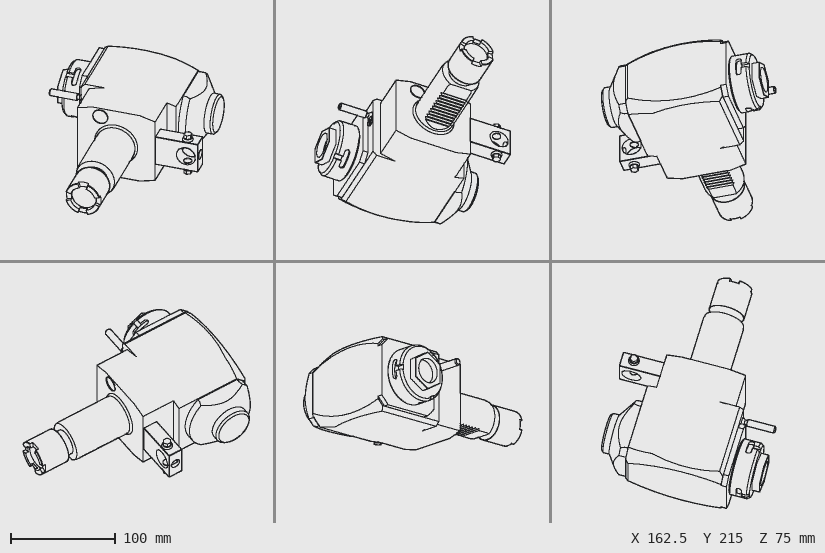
import cadquery as cq
import math


HALF_HEIGHT = 37.5
BACK_Y = 114.0
STEP_Y = 35.25
WIDE_LEFT_X = -47.25
WIDE_RIGHT_X = 48.5
FOOT_HALF_WIDTH = 39.25
TAPER_START_X = 24.0
TAPER = math.tan(math.radians(15))
LEFT_CHAMFER = 3.9
BACK_CORNER_CHAMFER = 3.0
CROWN_RADIUS = 128.0
CROWN_CENTER_X = -10.0
CROWN_Y = 109.7
RECESS_X, RECESS_Z = -16.2, 27.7
RECESS_DIAMETER = 15.0
RECESS_DEPTH = 1.0

SPINDLE_Y = 79.8
FLANGE_LEFT_X = -52.6
FLANGE_HALF_HEIGHT = 33.5
FLANGE_FRONT_Y = 46.4
FLANGE_CORNER = 8.2
NUT_RADIUS = 27.6
NUT_LEFT_X = -73.0
NUT_RIGHT_X = -53.8
NUT_CHAMFER_LENGTH, NUT_CHAMFER_DEPTH = 2.6, 2.0
NUT_NECK_RADIUS = 26.0
SLOT_COUNT = 3
SLOT_X = -62.8
SLOT_WIDTH = 5.2
SLOT_LENGTH = 19.0
SLOT_DEPTH = 3.0
CHANNEL_WIDTH = 4.7
HEX_LEFT_X = -80.5
HEX_ACROSS_FLATS = 32.2
HEX_CORNER_FILLET = 1.0
HEX_EDGE_CHAMFER = 0.3
HEX_BORE_DIAMETER = 24.0
HEX_BORE_DEPTH = 6.5

COVER_RADIUS = 37.3
COVER_CONE_X = 55.7
COVER_BOSS_X = 68.3
COVER_END_X = 76.5
COVER_BOSS_RADIUS = 19.5
COVER_BOSS_CHAMFER = 2.0
COVER_FLAT = 29.6
COVER_TAPER_X = 51.8

PIN_Y, PIN_Z = 40.5, 17.6
PIN_LEFT_X = -80.4
PIN_NECK_X = -52.6
PIN_HEAD_X = -50.0
PIN_RADIUS = 3.4
PIN_NECK_RADIUS = 2.2
PIN_BASE_RADIUS = 4.0
PIN_TIP_CHAMFER = 1.0
DISC_Z = 10.4
DISC_DIAMETER = 9.3
DISC_THICKNESS = 1.2
DISC_SOCKET_ACROSS_FLATS = 3.5

BAR_END_X = 82.0
BAR_FRONT_Y, BAR_BACK_Y = 1.0, 16.0
BAR_HALF_HEIGHT = 15.75
BAR_EDGE_CHAMFER = 0.4
BAR_BORE_X = 69.9
BAR_BORE_DIAMETER = 19.0
SCREW_Y = 7.0
SCREW_HEX_ACROSS_FLATS = 6.8
SCREW_TOP_Z = 22.0
SCREW_COLLAR_TOP_Z = 18.0
SCREW_COLLAR_RADIUS = 5.2
SCREW_COLLAR_TOP_RADIUS = 4.3
SCREW_STUD_DIAMETER = 8.0
SCREW_STUD_END_Z = 8.5
END_HOLE_DIAMETER = 9.5

SHANK_RADIUS = 20.0
SHANK_LENGTH = 63.0
SHANK_TIP_LENGTH, SHANK_TIP_DEPTH = 3.2, 0.7
COLLAR_RADIUS = 21.6
COLLAR_LENGTH = 2.0
COLLAR_END_RADIUS = 20.2
COLLAR_ROUNDING = 1.6
RELIEF_RADIUS = 19.6
RELIEF_END = 3.5
NECK_RADIUS = 12.7
FLARE_START = 64.2
FLARE_END_RADIUS = 17.0
COUPLING_START = 71.0
COUPLING_END = 101.0
COUPLING_RADIUS = 17.5
COUPLING_CHAMFER = 0.5
COUPLING_BORE_RADIUS = 12.5
COUPLING_BORE_DEPTH = 5.0
CLAW_SLOT_COUNT = 4
CLAW_SLOT_HALF_ANGLE = 16.5
CLAW_SLOT_DEPTH = 3.2
RACK_Z = -15.9
RACK_FLAT_START = 8.8
RACK_PITCH = 4.0
RACK_FIRST_GROOVE = 11.3
RACK_GROOVES = 10
RACK_GROOVE_HALF_WIDTH = 1.6
RACK_GROOVE_DEPTH = 1.3


def x_plane(x, y=0.0, z=0.0):
    """Sketch plane facing +X: local axes are Y and Z."""
    return cq.Workplane("YZ", origin=(x, y, z))


def across_corners(across_flats):
    return across_flats / math.cos(math.radians(30))


def prism_along_y(outline, y_start, y_end):
    """Extrude an outline of (x, z) points from y_start to y_end."""
    plane = cq.Plane(origin=(0, y_start, 0), xDir=(1, 0, 0), normal=(0, -1, 0))
    return cq.Workplane(plane).polyline(outline).close().extrude(y_start - y_end)


def turned_along_x(profile, y, z=0.0):
    """Turn an outline of (x, radius) points about the X-parallel axis at (y, z)."""
    blank = cq.Workplane("XY", origin=(0, y, z)).polyline(profile).close()
    return blank.revolve(360, (0, 0, 0), (1, 0, 0))


def tapered_height(x):
    return HALF_HEIGHT - TAPER * (x - TAPER_START_X)


def back_bevel():
    """Arched wedge that trims the upper back edge at 45 degrees."""
    reach = 70.0
    edge_y = CROWN_Y - CROWN_RADIUS + math.sqrt(CROWN_RADIUS**2 - reach**2)
    rise = 20.0
    outline = (
        cq.Workplane("XY", origin=(CROWN_CENTER_X, -rise, HALF_HEIGHT + rise))
        .moveTo(-reach, edge_y)
        .threePointArc((0, CROWN_Y), (reach, edge_y))
        .lineTo(reach, BACK_Y + 3 * rise)
        .lineTo(-reach, BACK_Y + 3 * rise)
        .close()
    )
    face = cq.Face.makeFromWires(outline.wires().val())
    sweep = cq.Vector(0, 4 * rise, -4 * rise)
    return cq.Workplane(cq.Solid.extrudeLinear(face, sweep))


def make_housing():
    end_z = tapered_height(WIDE_RIGHT_X)
    shoulder_z = HALF_HEIGHT - LEFT_CHAMFER
    shoulder_x = WIDE_LEFT_X + LEFT_CHAMFER
    wide_upper = [
        (WIDE_LEFT_X, shoulder_z),
        (shoulder_x, HALF_HEIGHT),
        (TAPER_START_X, HALF_HEIGHT),
        (WIDE_RIGHT_X, end_z),
    ]
    wide_outline = wide_upper + [(x, -z) for x, z in reversed(wide_upper)]
    wide = prism_along_y(wide_outline, STEP_Y, BACK_Y)
    wide = wide.edges("|Z and >X and >Y").chamfer(BACK_CORNER_CHAMFER)
    bevel = back_bevel()
    wide = wide.cut(bevel).cut(bevel.mirror("XY"))

    foot_z = tapered_height(FOOT_HALF_WIDTH)
    foot_upper = [
        (-FOOT_HALF_WIDTH, foot_z),
        (-TAPER_START_X, HALF_HEIGHT),
        (TAPER_START_X, HALF_HEIGHT),
        (FOOT_HALF_WIDTH, foot_z),
    ]
    foot_outline = foot_upper + [(x, -z) for x, z in reversed(foot_upper)]
    foot = prism_along_y(foot_outline, 0, STEP_Y)

    recess = (
        cq.Workplane("XZ", origin=(RECESS_X, 0, RECESS_Z))
        .circle(RECESS_DIAMETER / 2)
        .extrude(-RECESS_DEPTH)
    )
    return wide.union(foot).cut(recess)


def make_flange():
    length = BACK_Y - FLANGE_FRONT_Y
    return (
        x_plane(FLANGE_LEFT_X, (BACK_Y + FLANGE_FRONT_Y) / 2)
        .rect(length, 2 * FLANGE_HALF_HEIGHT)
        .extrude(WIDE_LEFT_X - FLANGE_LEFT_X)
        .edges("|X")
        .chamfer(FLANGE_CORNER)
    )


def spanner_slot():
    """Rounded slot around the nut on its +Y side, with a channel to the nut face."""
    slot = (
        cq.Workplane("XZ", origin=(SLOT_X, SPINDLE_Y + NUT_RADIUS, 0))
        .slot2D(SLOT_LENGTH, SLOT_WIDTH, 90)
        .extrude(NUT_RADIUS / 2)
    )
    channel = (
        x_plane(NUT_LEFT_X, SPINDLE_Y + NUT_RADIUS - SLOT_DEPTH / 2)
        .rect(SLOT_DEPTH, CHANNEL_WIDTH)
        .extrude(SLOT_X - NUT_LEFT_X)
    )
    core = (
        x_plane(NUT_LEFT_X, SPINDLE_Y)
        .circle(NUT_RADIUS - SLOT_DEPTH)
        .extrude(NUT_RIGHT_X - NUT_LEFT_X)
    )
    return slot.cut(core).union(channel)


def make_nut():
    nut = turned_along_x(
        [
            (NUT_LEFT_X, 0),
            (NUT_LEFT_X, NUT_RADIUS - NUT_CHAMFER_DEPTH),
            (NUT_LEFT_X + NUT_CHAMFER_LENGTH, NUT_RADIUS),
            (NUT_RIGHT_X, NUT_RADIUS),
            (NUT_RIGHT_X, NUT_NECK_RADIUS),
            (FLANGE_LEFT_X, NUT_NECK_RADIUS),
            (FLANGE_LEFT_X, 0),
        ],
        SPINDLE_Y,
    )
    slot = spanner_slot()
    for i in range(SLOT_COUNT):
        nut = nut.cut(slot.rotate((0, SPINDLE_Y, 0), (1, SPINDLE_Y, 0), i * 360 / SLOT_COUNT))

    hexagon = (
        x_plane(HEX_LEFT_X, SPINDLE_Y)
        .transformed(rotate=(0, 0, 30))
        .polygon(6, across_corners(HEX_ACROSS_FLATS))
        .extrude(NUT_LEFT_X - HEX_LEFT_X)
        .edges("|X")
        .fillet(HEX_CORNER_FILLET)
        .faces("<X")
        .chamfer(HEX_EDGE_CHAMFER)
    )
    bore = x_plane(HEX_LEFT_X, SPINDLE_Y).circle(HEX_BORE_DIAMETER / 2).extrude(HEX_BORE_DEPTH)
    return nut.union(hexagon).cut(bore)


def make_cover():
    cover = turned_along_x(
        [
            (WIDE_RIGHT_X, 0),
            (WIDE_RIGHT_X, COVER_RADIUS),
            (COVER_CONE_X, COVER_RADIUS),
            (COVER_BOSS_X, COVER_BOSS_RADIUS),
            (COVER_END_X - COVER_BOSS_CHAMFER, COVER_BOSS_RADIUS),
            (COVER_END_X, COVER_BOSS_RADIUS - COVER_BOSS_CHAMFER),
            (COVER_END_X, 0),
        ],
        SPINDLE_Y,
    )
    end_z = COVER_FLAT - TAPER * (COVER_END_X - COVER_TAPER_X)
    upper = [
        (WIDE_RIGHT_X, COVER_FLAT),
        (COVER_TAPER_X, COVER_FLAT),
        (COVER_END_X, end_z),
    ]
    outline = upper + [(x, -z) for x, z in reversed(upper)]
    envelope = prism_along_y(outline, SPINDLE_Y - COVER_RADIUS, SPINDLE_Y + COVER_FLAT)
    return cover.intersect(envelope)


def make_pin():
    pin = turned_along_x(
        [
            (PIN_LEFT_X, 0),
            (PIN_LEFT_X, PIN_RADIUS - PIN_TIP_CHAMFER),
            (PIN_LEFT_X + PIN_TIP_CHAMFER, PIN_RADIUS),
            (PIN_NECK_X, PIN_RADIUS),
            (PIN_NECK_X, PIN_NECK_RADIUS),
            (PIN_HEAD_X, PIN_NECK_RADIUS),
            (WIDE_LEFT_X, PIN_BASE_RADIUS),
            (WIDE_LEFT_X, 0),
        ],
        PIN_Y,
        PIN_Z,
    )
    disc = (
        x_plane(WIDE_LEFT_X - DISC_THICKNESS, PIN_Y, DISC_Z)
        .circle(DISC_DIAMETER / 2)
        .extrude(DISC_THICKNESS)
    )
    socket = (
        x_plane(WIDE_LEFT_X - DISC_THICKNESS, PIN_Y, DISC_Z)
        .transformed(rotate=(0, 0, 30))
        .polygon(6, across_corners(DISC_SOCKET_ACROSS_FLATS))
        .extrude(DISC_THICKNESS)
    )
    return pin.union(disc.cut(socket))


def clamping_screw():
    """Upper clamping screw, from its end in the bore to its hexagon head."""
    axis = (BAR_BORE_X, SCREW_Y, 0)
    stud = (
        cq.Workplane("XY", origin=axis)
        .workplane(offset=SCREW_STUD_END_Z)
        .circle(SCREW_STUD_DIAMETER / 2)
        .extrude(BAR_HALF_HEIGHT - SCREW_STUD_END_Z)
    )
    collar = (
        cq.Workplane("XZ", origin=axis)
        .moveTo(0, BAR_HALF_HEIGHT)
        .lineTo(SCREW_COLLAR_RADIUS, BAR_HALF_HEIGHT)
        .lineTo(SCREW_COLLAR_TOP_RADIUS, SCREW_COLLAR_TOP_Z)
        .lineTo(0, SCREW_COLLAR_TOP_Z)
        .close()
        .revolve(360, (0, 0, 0), (0, 1, 0))
    )
    head = (
        cq.Workplane("XY", origin=axis)
        .workplane(offset=BAR_HALF_HEIGHT)
        .transformed(rotate=(0, 0, 30))
        .polygon(6, across_corners(SCREW_HEX_ACROSS_FLATS))
        .extrude(SCREW_TOP_Z - BAR_HALF_HEIGHT)
    )
    return stud.union(collar).union(head)


def make_bar():
    bar = (
        x_plane(FOOT_HALF_WIDTH, (BAR_FRONT_Y + BAR_BACK_Y) / 2)
        .rect(BAR_BACK_Y - BAR_FRONT_Y, 2 * BAR_HALF_HEIGHT)
        .extrude(BAR_END_X - FOOT_HALF_WIDTH)
        .edges("not <X")
        .chamfer(BAR_EDGE_CHAMFER)
    )
    bore = (
        cq.Workplane("XZ", origin=(BAR_BORE_X, BAR_BACK_Y, 0))
        .circle(BAR_BORE_DIAMETER / 2)
        .extrude(BAR_BACK_Y - BAR_FRONT_Y)
    )
    end_hole = (
        x_plane(BAR_BORE_X, (BAR_FRONT_Y + BAR_BACK_Y) / 2)
        .circle(END_HOLE_DIAMETER / 2)
        .extrude(BAR_END_X - BAR_BORE_X)
    )
    screw = clamping_screw()
    return bar.cut(bore).cut(end_hole).union(screw).union(screw.mirror("XY"))


def make_shank():
    run = COUPLING_START - FLARE_START
    rise = FLARE_END_RADIUS - NECK_RADIUS
    flare_radius = (run**2 + rise**2) / (2 * rise)
    shank = (
        cq.Workplane("XY")
        .moveTo(0, 0)
        .lineTo(COLLAR_RADIUS, 0)
        .radiusArc((COLLAR_END_RADIUS, -COLLAR_LENGTH), COLLAR_ROUNDING)
        .lineTo(RELIEF_RADIUS, -COLLAR_LENGTH)
        .lineTo(SHANK_RADIUS, -RELIEF_END)
        .lineTo(SHANK_RADIUS, SHANK_TIP_LENGTH - SHANK_LENGTH)
        .lineTo(SHANK_RADIUS - SHANK_TIP_DEPTH, -SHANK_LENGTH)
        .lineTo(NECK_RADIUS, -SHANK_LENGTH)
        .lineTo(NECK_RADIUS, -FLARE_START)
        .radiusArc((FLARE_END_RADIUS, -COUPLING_START), -flare_radius)
        .lineTo(COUPLING_RADIUS, -COUPLING_START)
        .lineTo(COUPLING_RADIUS, COUPLING_CHAMFER - COUPLING_END)
        .lineTo(COUPLING_RADIUS - COUPLING_CHAMFER, -COUPLING_END)
        .lineTo(0, -COUPLING_END)
        .close()
        .revolve(360, (0, 0, 0), (0, 1, 0))
    )
    return shank.cut(rack_cut()).cut(claw_cut())


def rack_cut():
    """Flat with V grooves along the underside of the shank."""
    clearance = 1.0
    below = -COLLAR_RADIUS - clearance
    ramp_start = RACK_FLAT_START - (RACK_Z - below)
    width = 2 * COLLAR_RADIUS
    sketch = cq.Workplane("YZ", origin=(-width / 2, 0, 0))
    cut = (
        sketch.moveTo(-ramp_start, below)
        .lineTo(-RACK_FLAT_START, RACK_Z)
        .lineTo(-SHANK_LENGTH, RACK_Z)
        .lineTo(-SHANK_LENGTH, below)
        .close()
        .extrude(width)
    )
    for i in range(RACK_GROOVES):
        y = -(RACK_FIRST_GROOVE + i * RACK_PITCH)
        groove = (
            sketch.moveTo(y - RACK_GROOVE_HALF_WIDTH, RACK_Z)
            .lineTo(y, RACK_Z + RACK_GROOVE_DEPTH)
            .lineTo(y + RACK_GROOVE_HALF_WIDTH, RACK_Z)
            .close()
            .extrude(width)
        )
        cut = cut.union(groove)
    return cut


def claw_cut():
    """Face recess and wedge-shaped slots in the end of the coupling."""
    end_face = cq.Workplane("XZ", origin=(0, -COUPLING_END, 0))
    cut = end_face.circle(COUPLING_BORE_RADIUS).extrude(-COUPLING_BORE_DEPTH)
    reach = 2 * COUPLING_RADIUS
    spread = reach * math.tan(math.radians(CLAW_SLOT_HALF_ANGLE))
    wedge = (
        end_face.moveTo(0, 0)
        .lineTo(reach, spread)
        .lineTo(reach, -spread)
        .close()
        .extrude(-CLAW_SLOT_DEPTH)
    )
    for i in range(CLAW_SLOT_COUNT):
        cut = cut.union(wedge.rotate((0, 0, 0), (0, 1, 0), i * 360 / CLAW_SLOT_COUNT))
    return cut


result = make_housing()
for feature in (make_flange(), make_nut(), make_cover(), make_pin(), make_bar(), make_shank()):
    result = result.union(feature)